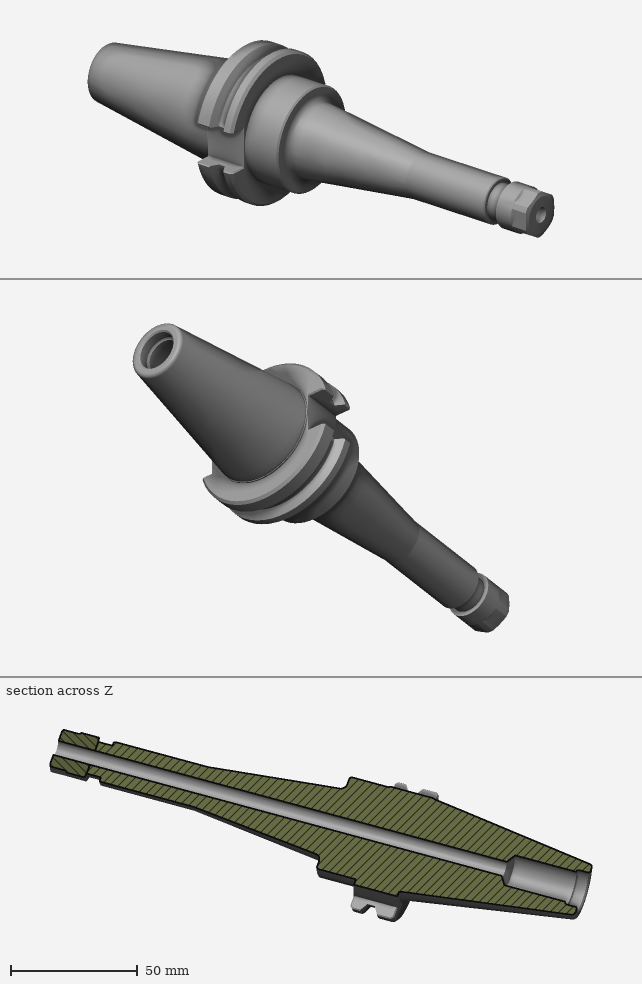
import cadquery as cq
import math


total_length = 218.2
through_hole_diameter = 6.5

body_diameter = 44.5
taper_end_diameter = 24.2
taper_length = 67.9
taper_end_fillet = 1.7
land_start = 68.5
land_diameter = 45.2

flange_diameter = 63.5
flange_start = 69.2
flange_end = 87.3
flange_chamfer = 1.0
groove_center = 79.5
groove_floor_width = 3.0
groove_floor_diameter = 56.3
groove_wall_angle = 30.0

slot_width = 16.5
slot_floor_plus_y = 24.9
slot_floor_minus_y = 22.7
slot_edge_chamfer = 0.55

collar_end = 103.7
collar_chamfer = 0.7
cone_root_diameter = 32.3
cone_root_fillet = 2.6
cone_end = 158.2
shaft_diameter = 19.5
shaft_end = 197.3
shaft_chamfer = 0.5
neck_diameter = 15.5

counterbore_diameter = 16.4
counterbore_depth = 5.2
counterbore_chamfer = 0.7
counterbore_floor_diameter = 15.5
thread_diameter = 14.2
thread_end = 30.5
drill_point_angle = 118.0

nut_start = 203.2
nut_diameter = shaft_diameter
nut_flats_start = 210.6
nut_across_flats = 18.0
nut_face_diameter = 15.5
nut_face_chamfer_length = 0.7
flat_count = 6


def turned(points):
    """Solid of revolution about X from (x, radius) points; the ends close onto the axis."""
    profile = [(points[0][0], 0), *points, (points[-1][0], 0)]
    return cq.Workplane("XY").polyline(profile).close().revolve(360, (0, 0, 0), (1, 0, 0))


def bar(diameter, start, end):
    """Plain cylinder along X."""
    return turned([(start, diameter / 2), (end, diameter / 2)])


def edge_at(x, diameter):
    """Selector for the circular edge at a given station, by a thin box round it."""
    reach = 0.1
    radius = diameter / 2
    return cq.selectors.BoxSelector(
        (x - reach, -radius - reach, -radius - reach),
        (x + reach, radius + reach, radius + reach),
        boundingbox=True,
    )


def make_shank():
    """Taper, land, collar, slender cone, shaft and neck."""
    shank = turned([
        (0, taper_end_diameter / 2),
        (taper_length, body_diameter / 2),
        (land_start, body_diameter / 2),
        (land_start, land_diameter / 2),
        (flange_start, land_diameter / 2),
        (flange_start, body_diameter / 2),
        (collar_end - collar_chamfer, body_diameter / 2),
        (collar_end, body_diameter / 2 - collar_chamfer),
        (collar_end, cone_root_diameter / 2),
        (cone_end, shaft_diameter / 2),
        (shaft_end - shaft_chamfer, shaft_diameter / 2),
        (shaft_end, shaft_diameter / 2 - shaft_chamfer),
        (shaft_end, neck_diameter / 2),
        (nut_start, neck_diameter / 2),
    ])
    shank = shank.edges(edge_at(0, taper_end_diameter)).fillet(taper_end_fillet)
    return shank.edges(edge_at(collar_end, cone_root_diameter)).fillet(cone_root_fillet)


def make_flange_groove():
    """V groove ring, reaching past the rim."""
    rim = flange_diameter / 2
    groove_floor = groove_floor_diameter / 2
    half_floor = groove_floor_width / 2
    clearance = 2.2
    half_mouth = half_floor + (rim + clearance - groove_floor) * math.tan(math.radians(groove_wall_angle))
    return (
        cq.Workplane("XY")
        .polyline([
            (groove_center - half_mouth, rim + clearance),
            (groove_center - half_floor, groove_floor),
            (groove_center + half_floor, groove_floor),
            (groove_center + half_mouth, rim + clearance),
        ])
        .close()
        .revolve(360, (0, 0, 0), (1, 0, 0))
    )


def cut_driving_slot(flange, side, floor):
    """Cut one slot on the +Y (side = 1) or -Y (side = -1) edge and chamfer its open edges."""
    slot = (
        cq.Workplane("XY")
        .box(flange_end - flange_start, flange_diameter, slot_width, centered=(False, True, True))
        .translate((flange_start, side * (floor + flange_diameter / 2), 0))
    )
    flange = flange.cut(slot)
    margin = 0.2
    near, far = sorted((side * (floor + margin), side * flange_diameter))
    for wall in (-slot_width / 2, slot_width / 2):
        open_edges = cq.selectors.BoxSelector(
            (flange_start - margin, near, wall - margin),
            (flange_end + margin, far, wall + margin),
        )
        flange = flange.edges(open_edges).chamfer(slot_edge_chamfer)
    return flange


def make_flange():
    """Flange with chamfered rim, two driving slots and the V groove."""
    rim = flange_diameter / 2
    flange = turned([
        (flange_start, rim - flange_chamfer),
        (flange_start + flange_chamfer, rim),
        (flange_end - flange_chamfer, rim),
        (flange_end, rim - flange_chamfer),
    ])
    flange = cut_driving_slot(flange, 1, slot_floor_plus_y)
    flange = cut_driving_slot(flange, -1, slot_floor_minus_y)
    return flange.cut(make_flange_groove())


def make_bore():
    """Counterbore, threaded hole with a drill point, and the through hole."""
    counterbore = counterbore_diameter / 2
    counterbore_floor = counterbore_floor_diameter / 2
    thread = thread_diameter / 2
    through_hole = through_hole_diameter / 2
    point_length = (thread - through_hole) / math.tan(math.radians(drill_point_angle / 2))
    return turned([
        (0, counterbore + counterbore_chamfer),
        (counterbore_chamfer, counterbore),
        (counterbore_depth - (counterbore - counterbore_floor), counterbore),
        (counterbore_depth, counterbore_floor),
        (counterbore_depth, thread),
        (thread_end, thread),
        (thread_end + point_length, through_hole),
        (nut_start, through_hole),
    ])


def make_holder():
    """Shank and flange in one piece, bored through."""
    return make_shank().union(make_flange()).cut(make_bore())


def make_nut():
    """Round nut with six flats that run out on a 45 degree cone."""
    outer = nut_diameter / 2
    runout = outer - through_hole_diameter / 2
    round_part = turned([
        (nut_start, outer),
        (nut_flats_start, outer),
        (nut_flats_start + runout, outer - runout),
    ])
    hexagon = (
        cq.Workplane("YZ", origin=(nut_start, 0, 0))
        .polygon(flat_count, nut_across_flats, circumscribed=True)
        .extrude(total_length - nut_start)
    )
    envelope = turned([
        (nut_start, outer),
        (total_length - nut_face_chamfer_length, outer),
        (total_length, nut_face_diameter / 2),
    ])
    nut = round_part.union(hexagon).intersect(envelope)
    return nut.cut(bar(through_hole_diameter, nut_start, total_length))


holder = make_holder()
nut = make_nut()

result = cq.Compound.makeCompound([holder.val(), nut.val()])